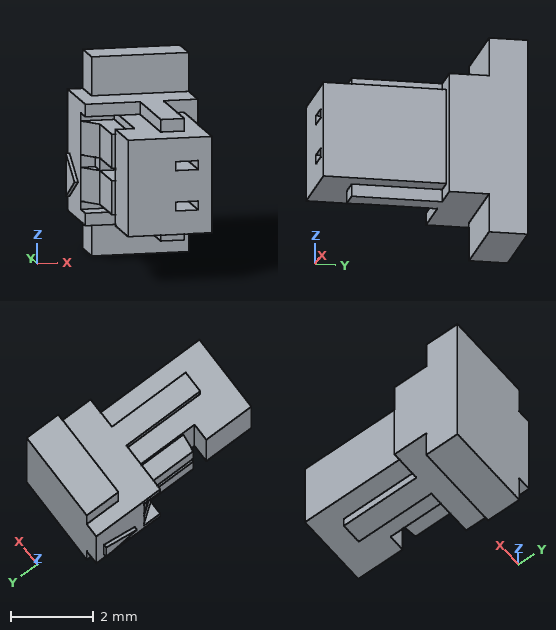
import cadquery as cq


body_width = 2.81
body_length = 1.95
body_height = 3.01

ear_start = 0.385
ear_length = 0.965
total_height = 4.94

core_start = 0.365
core_width = 2.095
core_height = 2.39
total_length = 5.0

rib_start = 1.365
rib_width = 0.585
rib_end = 4.195

window_start = 1.455
relief_floor = 0.84
relief_end = 3.625

latch_height = 0.84
latch_pitch = 1.15
latch_end = 3.23
latch_end_slant = 0.055

contact_start = 1.555
contact_width = 0.56
contact_height = 0.22
contact_pitch = 1.0
contact_depth = 1.5

mark_thickness = 2.9 - body_width
mark_start = 0.235
mark_length = 0.935
mark_base = 1.07


def centred_block(x_start, width, y_start, y_end, height, z_centre=0):
    """Block running from y_start toward the nose to y_end, centred in height."""
    return (
        cq.Workplane("XY")
        .box(width, y_end - y_start, height, centered=(False, False, True))
        .translate((x_start, -y_end, z_centre))
    )


def latch(z_centre):
    """Latch finger with a ramp up to the body face and a slanted free end."""
    outline = [
        (relief_floor, -window_start),
        (0, -window_start),
        (core_start, -body_length),
        (core_start, -latch_end),
        (relief_floor, -latch_end - latch_end_slant),
    ]
    return (
        cq.Workplane("XY", origin=(0, 0, z_centre - latch_height / 2))
        .polyline(outline)
        .close()
        .extrude(latch_height)
    )


def pin_one_mark():
    """Triangle on the -X face, pointing to the nose, level with the lower latch."""
    mark_centre = -latch_pitch / 2
    outline = [
        (-mark_start, mark_centre + mark_base / 2),
        (-mark_start, mark_centre - mark_base / 2),
        (-mark_start - mark_length, mark_centre),
    ]
    return (
        cq.Workplane("YZ", origin=(-mark_thickness, 0, 0))
        .polyline(outline)
        .close()
        .extrude(mark_thickness)
    )


body = centred_block(0, body_width, 0, body_length, body_height)
ears = centred_block(ear_start, body_width - ear_start, 0, ear_length, total_height)
core = centred_block(core_start, core_width, 0, total_length, core_height)
ribs = centred_block(rib_start, rib_width, 0, rib_end, body_height)
housing = body.union(ears).union(core).union(ribs)

window = centred_block(0, relief_floor, window_start, body_length, core_height)
relief = centred_block(core_start, relief_floor - core_start, body_length, relief_end, core_height)
housing = housing.cut(window).cut(relief)

latch_gap = latch_pitch - latch_height
bridge = centred_block(core_start, relief_floor - core_start, window_start, body_length, latch_gap)
housing = housing.union(bridge)

for side in (-1, 1):
    housing = housing.union(latch(side * latch_pitch / 2))
    contact_hole = centred_block(
        contact_start,
        contact_width,
        total_length - contact_depth,
        total_length,
        contact_height,
        side * contact_pitch / 2,
    )
    housing = housing.cut(contact_hole)

result = housing.union(pin_one_mark())